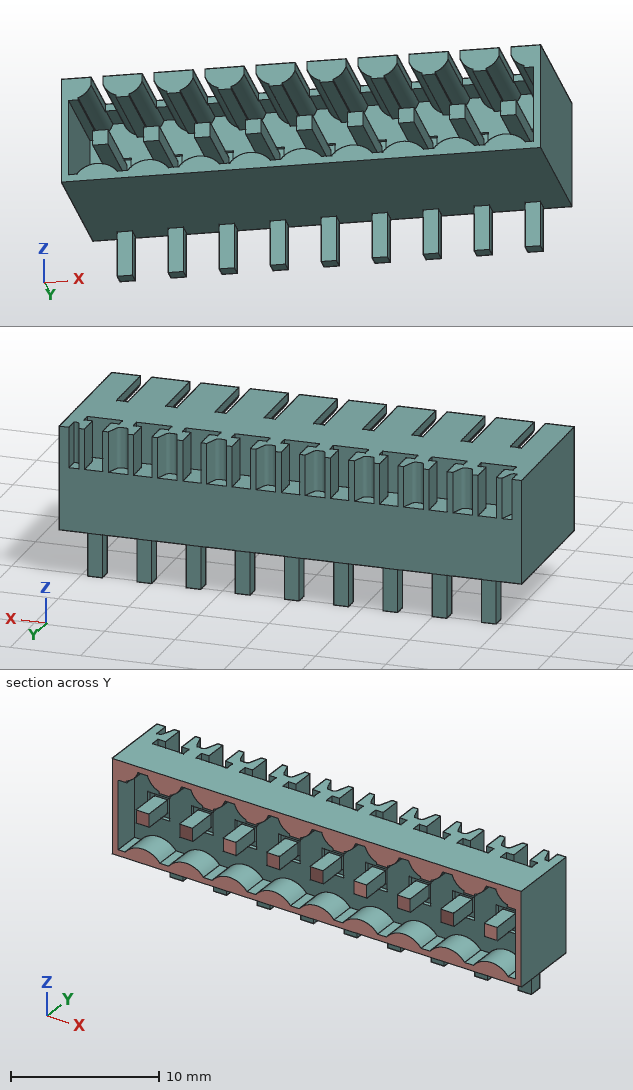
import cadquery as cq


pin_count = 9
pitch = 3.5
pin_positions = [(i - (pin_count - 1) / 2) * pitch for i in range(pin_count)]
gap_positions = [(i - pin_count / 2) * pitch for i in range(pin_count + 1)]

length = 32.9
depth = 11.05
height = 7.45
wall = 0.5

socket_length = length - 2 * wall
socket_depth = 7.5
socket_top = height - wall
tooth_depth = 1.58
tooth_radius = 1.45
tooth_lip_width = 0.9
tooth_lip_height = 0.08
floor_bump_height = 0.67
floor_bump_width = 2.8
key_slot_width = 0.8
key_slot_depth = 5.05

t_stem_width = 1.3
t_stem_depth = 1.7
t_head_width = 2.5
t_slot_depth = 2.4
notch_height = 2.9
groove_mouth_width = 1.4
groove_bottom_width = 0.66
groove_depth = 1.1
groove_radius = 0.3

pin_size = 1.05
pin_height = 3.52
pin_tip_inset = 1.2
pin_back_inset = 0.3
pin_leg_drop = 3.2
pin_recess_size = 1.75
pin_recess_depth = 0.3


def box(x_size, y_min, y_max, z_min, z_max, x_center=0.0):
    """Box centred on x_center, between the given Y and Z limits."""
    block = cq.Workplane("XY").box(x_size, y_max - y_min, z_max - z_min, centered=(True, False, False))
    return block.translate((x_center, y_min, z_min))


def make_pin(x):
    """L-shaped square pin: a contact along Y and a solder leg pointing down."""
    y_back = depth - pin_back_inset
    z_min = pin_height - pin_size / 2
    z_max = pin_height + pin_size / 2
    contact = box(pin_size, pin_tip_inset, y_back, z_min, z_max, x)
    leg = box(pin_size, y_back - pin_size, y_back, -pin_leg_drop, z_max, x)
    return contact.union(leg)


def socket_prism(outline):
    """Extrude an XZ outline from the open front to the socket's back wall."""
    return outline.extrude(-socket_depth)


def ceiling_tooth(x):
    """Round-bottomed tooth hanging between two pins, with a narrow flat lip along its bottom."""
    lip_bottom = height - tooth_depth
    arc_center = lip_bottom + tooth_lip_height + tooth_radius
    tooth = socket_prism(cq.Workplane("XZ").center(x, arc_center).circle(tooth_radius))
    lip = box(tooth_lip_width, 0, socket_depth, lip_bottom, arc_center, x)
    return tooth.union(lip)


def floor_bump(x):
    """Shallow round bump on the socket floor below a pin."""
    half = floor_bump_width / 2
    outline = (
        cq.Workplane("XZ")
        .moveTo(x - half, wall)
        .threePointArc((x, wall + floor_bump_height), (x + half, wall))
        .close()
    )
    return socket_prism(outline)


def make_socket():
    """Open space inside the shroud, shaped by the teeth and the floor bumps."""
    socket = box(socket_length, 0, socket_depth, wall, socket_top)
    for x in gap_positions:
        socket = socket.cut(ceiling_tooth(x))
    for x in pin_positions:
        socket = socket.cut(floor_bump(x))
    return socket


def key_slot(x):
    """Slot through the roof above a pin, open at the front."""
    return box(key_slot_width, 0, key_slot_depth, height - tooth_depth, height, x)


def t_slot(x):
    """T-shaped pocket in the back edge, open at the top and back."""
    z_min = height - notch_height
    stem = box(t_stem_width, depth - t_stem_depth, depth, z_min, height, x)
    head = box(t_head_width, depth - t_slot_depth, depth - t_stem_depth, z_min, height, x)
    return stem.union(head)


def back_groove(x):
    """Tapered groove in the back edge, open at the top, with a rounded bottom."""
    outline = [
        (x - groove_mouth_width / 2, depth),
        (x - groove_bottom_width / 2, depth - groove_depth),
        (x + groove_bottom_width / 2, depth - groove_depth),
        (x + groove_mouth_width / 2, depth),
    ]
    groove_floor = cq.Workplane("XY").workplane(offset=height - notch_height)
    groove = groove_floor.polyline(outline).close().extrude(notch_height)
    return groove.edges("|Z and <Y").fillet(groove_radius)


def pin_recess(x):
    """Square recess around a pin in the socket's back wall."""
    z_min = pin_height - pin_recess_size / 2
    z_max = pin_height + pin_recess_size / 2
    return box(pin_recess_size, socket_depth, socket_depth + pin_recess_depth, z_min, z_max, x)


def make_housing():
    body = box(length, 0, depth, 0, height)
    body = body.cut(make_socket())
    for x in pin_positions:
        body = body.cut(key_slot(x))
        body = body.cut(t_slot(x))
        body = body.cut(pin_recess(x))
        body = body.cut(make_pin(x))
    groove_zone = box(pin_count * pitch, depth - groove_depth, depth, 0, height)
    for x in gap_positions:
        body = body.cut(back_groove(x).intersect(groove_zone))
    return body


housing = make_housing()
pins = [make_pin(x) for x in pin_positions]

result = cq.Compound.makeCompound([housing.val(), *[pin.val() for pin in pins]])